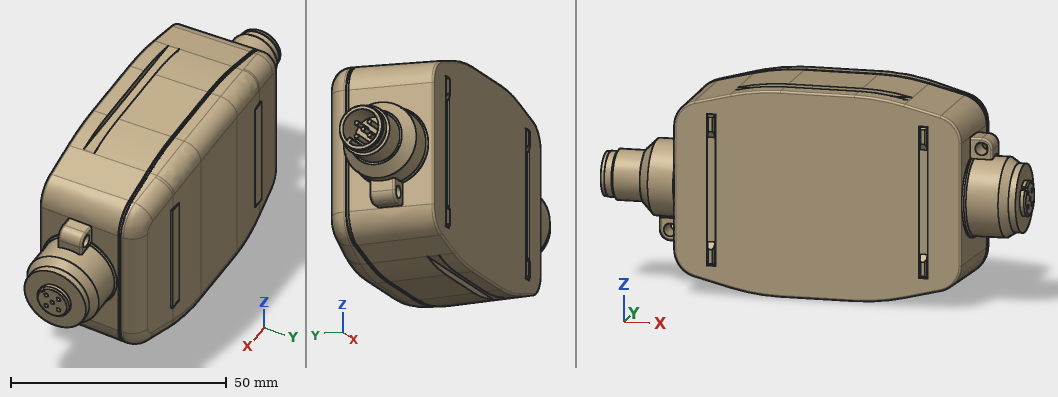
import cadquery as cq
import math


half_length = 35.0
half_width = 25.0
flat_half_length = 8.9
flank_angle = 14.0
shoulder_radius = 50.0
corner_radius = 7.0

housing_depth = 20.9
housing_draft = 1.4
front_edge_fillet = 0.5
neck_height = 0.7
neck_inset = 0.5
side_groove_y = 4.1
side_groove_width = 2.8
side_groove_floor_z = 23.2

slot_center_x = 25.5
slot_length = 36.0
slot_width = 2.1
slot_depth = 0.5
pad_width = 1.7
pad_height = 0.55
pad_outer_base_z = 17.8
pad_outer_top_z = 17.4
pad_inner_top_z = 14.0
pad_inner_base_z = 12.4
pad_chamfer = 0.4

eyelet_end_x = 40.0
eyelet_edge_z = 14.4
eyelet_width = 6.2
eyelet_corner_radius = 2.6
eyelet_edge_fillet = 0.5
eyelet_hole_x = 37.4
eyelet_hole_z = 11.8
eyelet_hole_diameter = 3.0

cover_y = housing_depth + neck_height
cover_crown_y = 28.5
cover_slope = 7.0
cover_shoulder_radius = 100.0
cover_edge_fillet = 4.4
bar_x = 20.15
bar_width = 3.3
bar_length = 30.0
bar_top_y = 28.1
bar_embed = 1.0

connector_y = 10.7
socket_depth = 2.0
seat_x = half_length - socket_depth
contact_radius = 0.5
contact_half_spacing = 1.6
base_flange = 0.4
plug_flange_x = -35.1
receptacle_flange_x = 35.4
key_width = 0.9
key_angle = 45.0

plug_base_radius = 9.05
plug_cone_x = -41.2
plug_collar_x = -43.8
plug_collar_radius = 6.5
plug_barrel_radius = 6.0
plug_barrel_end_x = -50.4
plug_groove_radius = 5.0
plug_groove_end_x = -50.9
plug_nose_radius = 5.4
plug_end_x = -53.5
plug_tip_radius = 5.25
plug_tip_x = -52.6
plug_bore_radius = 4.4
plug_bore_depth = 8.0
plug_pin_recess = 1.5
plug_key_height = 1.0
embed = 0.5

receptacle_base_radius = 9.46
receptacle_cone_x = 43.1
receptacle_rim_radius = 8.1
receptacle_rim_x = 45.2
receptacle_face_x = 46.9
insert_radius = 4.2
insert_end_x = 48.25
insert_hole_depth = 5.0
insert_chamfer = 0.4
insert_key_depth = 0.8


def polar(center_x, center_z, radius, angle):
    """Point on a circle, with the angle in degrees measured from +Z toward +X."""
    turn = math.radians(angle)
    return center_x + radius * math.sin(turn), center_z + radius * math.cos(turn)


def case_outline(plane):
    """Flat sides joined by large shoulder arcs, straight flanks and rounded corners."""
    shoulder_center_z = half_width - shoulder_radius
    shoulder_mid = polar(flat_half_length, shoulder_center_z, shoulder_radius, flank_angle / 2)
    shoulder_end = polar(flat_half_length, shoulder_center_z, shoulder_radius, flank_angle)

    corner_center_x = half_length - corner_radius
    corner_start_x = polar(corner_center_x, 0, corner_radius, flank_angle)[0]
    flank_drop = (corner_start_x - shoulder_end[0]) * math.tan(math.radians(flank_angle))
    corner_start_z = shoulder_end[1] - flank_drop
    corner_center_z = corner_start_z - corner_radius * math.cos(math.radians(flank_angle))
    corner_mid = polar(corner_center_x, corner_center_z, corner_radius, (flank_angle + 90) / 2)

    return (
        plane.moveTo(0, half_width)
        .lineTo(flat_half_length, half_width)
        .threePointArc(shoulder_mid, shoulder_end)
        .lineTo(corner_start_x, corner_start_z)
        .threePointArc(corner_mid, (half_length, corner_center_z))
        .lineTo(half_length, 0)
        .mirrorX()
        .mirrorY()
    )


def at_depth(y):
    """Workplane parallel to the front face; extrusions run toward the front."""
    return cq.Workplane("XZ", origin=(0, y, 0))


def turned(profile):
    """Solid of revolution about the connector axis from (x, radius) points."""
    return (
        cq.Workplane("XY", origin=(0, connector_y, 0))
        .polyline(profile)
        .close()
        .revolve(360, (0, 0, 0), (1, 0, 0))
    )


def axial_cylinders(points, radius, x_start, x_end):
    """Cylinders along X at (y, z) offsets from the connector axis."""
    return (
        cq.Workplane("YZ", origin=(x_start, connector_y, 0))
        .pushPoints(points)
        .circle(radius)
        .extrude(x_end - x_start)
    )


def key_block(x_start, x_end, inner_radius, outer_radius, angle):
    """Radial block along X, turned by an angle from +Y about the connector axis."""
    block = cq.Workplane("XY").box(
        x_end - x_start, outer_radius - inner_radius, key_width, centered=(False, False, True)
    )
    return (
        block.translate((x_start, inner_radius, 0))
        .rotate((0, 0, 0), (1, 0, 0), angle)
        .translate((0, connector_y, 0))
    )


contact_points = [(0, 0)] + [
    (side_y * contact_half_spacing, side_z * contact_half_spacing)
    for side_y in (-1, 1)
    for side_z in (-1, 1)
]


def slot_pad(x, end):
    """Raised wedge-ended pad near one end (end = +1 or -1) of a front slot."""
    pad = (
        cq.Workplane("YZ", origin=(x - pad_width / 2, 0, 0))
        .polyline([
            (slot_depth, end * pad_outer_base_z),
            (-pad_height, end * pad_outer_top_z),
            (-pad_height, end * pad_inner_top_z),
            (slot_depth, end * pad_inner_base_z),
        ])
        .close()
        .extrude(pad_width)
    )
    return pad.faces("<Y").edges("|Z").chamfer(pad_chamfer)


def eyelet(side):
    """Lashing eye beside a connector: side +1 is at +X and +Z, side -1 at -X and -Z."""
    length = eyelet_end_x - seat_x
    plate = (
        at_depth(connector_y + eyelet_width / 2)
        .center(seat_x + length / 2, eyelet_edge_z / 2)
        .rect(length, eyelet_edge_z)
        .extrude(eyelet_width)
        .edges("|Y and >X and >Z")
        .fillet(eyelet_corner_radius)
        .faces(">Y or <Y")
        .edges("not (<X or <Z)")
        .fillet(eyelet_edge_fillet)
    )
    hole = (
        at_depth(connector_y + eyelet_width)
        .center(eyelet_hole_x, eyelet_hole_z)
        .circle(eyelet_hole_diameter / 2)
        .extrude(2 * eyelet_width)
    )
    turn = 0 if side > 0 else 180
    return plate.cut(hole).rotate((0, 0, 0), (0, 1, 0), turn)


plug = turned([
    (-seat_x, 0),
    (-seat_x, plug_base_radius + base_flange),
    (plug_flange_x + base_flange, plug_base_radius + base_flange),
    (plug_flange_x, plug_base_radius),
    (plug_cone_x, plug_base_radius),
    (plug_collar_x, plug_collar_radius),
    (plug_collar_x, plug_barrel_radius),
    (plug_barrel_end_x, plug_barrel_radius),
    (plug_barrel_end_x, plug_groove_radius),
    (plug_groove_end_x, plug_groove_radius),
    (plug_groove_end_x, plug_nose_radius),
    (plug_tip_x, plug_nose_radius),
    (plug_tip_x, plug_tip_radius),
    (plug_end_x, plug_tip_radius),
    (plug_end_x, 0),
])
plug_floor_x = plug_end_x + plug_bore_depth
plug = plug.cut(axial_cylinders([(0, 0)], plug_bore_radius, plug_end_x, plug_floor_x))
plug = plug.union(
    axial_cylinders(contact_points, contact_radius, plug_end_x + plug_pin_recess, plug_floor_x + embed)
)
plug = plug.union(
    key_block(
        plug_end_x,
        plug_floor_x,
        plug_bore_radius - plug_key_height,
        plug_bore_radius + embed,
        -key_angle,
    )
)

receptacle = turned([
    (seat_x, 0),
    (seat_x, receptacle_base_radius + base_flange),
    (receptacle_flange_x - base_flange, receptacle_base_radius + base_flange),
    (receptacle_flange_x, receptacle_base_radius),
    (receptacle_cone_x, receptacle_base_radius),
    (receptacle_rim_x, receptacle_rim_radius),
    (receptacle_face_x, receptacle_rim_radius),
    (receptacle_face_x, insert_radius),
    (insert_end_x - insert_chamfer, insert_radius),
    (insert_end_x, insert_radius - insert_chamfer),
    (insert_end_x, 0),
])
receptacle = receptacle.cut(
    axial_cylinders(contact_points, contact_radius, insert_end_x - insert_hole_depth, insert_end_x)
)
receptacle = receptacle.cut(
    key_block(
        receptacle_face_x,
        insert_end_x,
        insert_radius - insert_key_depth,
        insert_radius + insert_key_depth,
        180 - key_angle,
    )
)

housing = (
    case_outline(at_depth(housing_depth))
    .extrude(housing_depth, taper=housing_draft)
    .faces("<Y")
    .edges()
    .fillet(front_edge_fillet)
)
neck = case_outline(at_depth(cover_y)).offset2D(-neck_inset).extrude(neck_height)
housing = housing.union(neck)

for side in (-1, 1):
    side_groove = cq.Workplane("XY").box(
        2 * half_length, side_groove_width, half_width, centered=(True, False, False)
    ).translate((0, side_groove_y, side_groove_floor_z))
    housing = housing.cut(side_groove if side > 0 else side_groove.mirror("XY"))

for slot_x in (-slot_center_x, slot_center_x):
    front_slot = at_depth(slot_depth).center(slot_x, 0).rect(slot_width, slot_length).extrude(slot_depth)
    housing = housing.cut(front_slot)
    for end in (-1, 1):
        housing = housing.union(slot_pad(slot_x, end))

for side in (-1, 1):
    housing = housing.union(eyelet(side))

plug_seat = axial_cylinders([(0, 0)], plug_base_radius + base_flange, -2 * half_length, -seat_x)
receptacle_seat = axial_cylinders([(0, 0)], receptacle_base_radius + base_flange, seat_x, 2 * half_length)
housing = housing.cut(plug_seat).cut(receptacle_seat)


def cover_crown():
    """Side profile of the cover: a flat crown, shoulder arcs and sloping ends."""
    center_y = cover_crown_y - cover_shoulder_radius
    shoulder_mid = polar(flat_half_length, center_y, cover_shoulder_radius, cover_slope / 2)
    shoulder_end = polar(flat_half_length, center_y, cover_shoulder_radius, cover_slope)
    end_y = shoulder_end[1] - (half_length - shoulder_end[0]) * math.tan(math.radians(cover_slope))
    return (
        cq.Workplane("XY", origin=(0, 0, -half_width))
        .moveTo(0, cover_crown_y)
        .lineTo(flat_half_length, cover_crown_y)
        .threePointArc(shoulder_mid, shoulder_end)
        .lineTo(half_length, end_y)
        .lineTo(half_length, cover_y)
        .lineTo(0, cover_y)
        .mirrorY()
        .extrude(2 * half_width)
    )


cover = case_outline(at_depth(cover_crown_y)).extrude(cover_crown_y - cover_y)
cover = cover.intersect(cover_crown())
cover = cover.faces(">X").edges(">Y").fillet(cover_edge_fillet)

bars = (
    at_depth(bar_top_y)
    .pushPoints([(-bar_x, 0), (bar_x, 0)])
    .rect(bar_width, bar_length)
    .extrude(bar_embed)
)
cover = cover.union(bars)

result = cq.Compound.makeCompound([housing.val(), cover.val(), plug.val(), receptacle.val()])